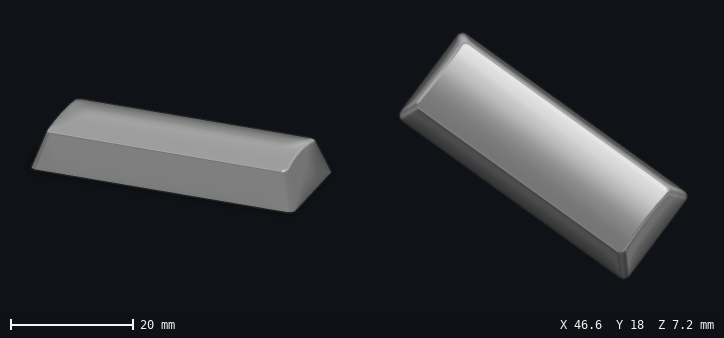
import cadquery as cq

base_length = 46.6
base_width = 18.0
height = 7.2
wall_lean = 18.0
crown_radius = 27.95
corner_radius = 1.25
rim_radius = 0.65

trim_allowance = 0.45
block_height = height + trim_allowance
crown_axis_z = height - crown_radius


def tapered_block():
    """Rectangular base whose four walls lean inward, with rounded corner edges."""
    block = cq.Workplane("XY").rect(base_length, base_width).extrude(block_height, taper=wall_lean)
    leaning_corners = block.edges("not #Z")
    return leaning_corners.fillet(corner_radius)


def crown_cylinder():
    """Long cylinder along X whose upper side is the domed top."""
    return (
        cq.Workplane("YZ")
        .center(0, crown_axis_z)
        .circle(crown_radius)
        .extrude(base_length, both=True)
    )


domed_block = tapered_block().intersect(crown_cylinder())

result = domed_block.faces(">Z").edges().fillet(rim_radius)